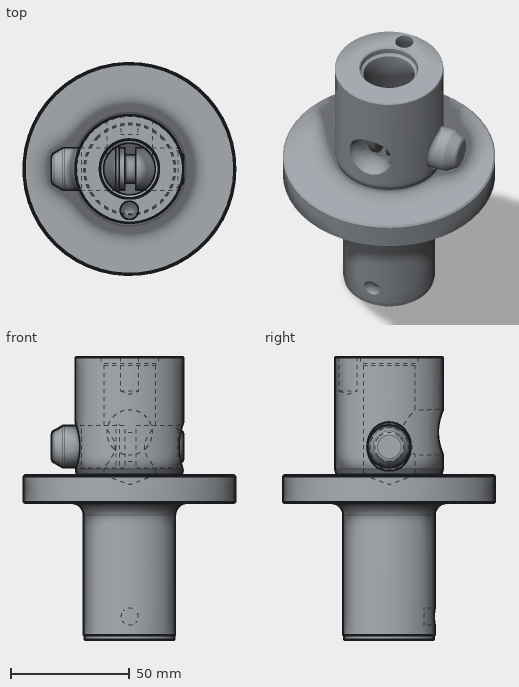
import cadquery as cq
import math

total_height = 120.0
flange_radius = 45.0
flange_bottom_z = 58.0
flange_thickness = 12.0
flange_top_z = flange_bottom_z + flange_thickness
flange_chamfer = 0.7
column_radius = 46.0 / 2
column_chamfer = 0.4
shank_radius = 39.0 / 2
shank_fillet_radius = 4.9

land_step = 0.4
land_height = 1.9
land_radius = shank_radius - land_step
land_chamfer = 0.4

relief_depth = 0.6
relief_height = 2.6
relief_corner_radius = 0.5
relief_sink = 0.1
relief_outer_radius = 24.0

bore_radius = 10.9
bore_bottom_z = flange_top_z
counterbore_radius = 12.2
counterbore_depth = 2.8
mouth_chamfer = 0.5
drill_point_slope = math.tan(math.radians(20))
shoulder_slope = math.tan(math.radians(30))

top_hole_radius = 3.8
top_hole_depth = 14.4
top_hole_y = -17.5

access_radius = 9.6
access_z = 88.1

shank_hole_radius = 3.6
shank_hole_z = 10.1
shank_hole_depth = 4.8

pin_radius = 9.0
pin_z = 82.0
pin_left_x = -33.0
pin_right_x = column_radius
pin_taper_length = 4.9
pin_taper_slope = math.tan(math.radians(30))
pin_end_radius = pin_radius - pin_taper_length * pin_taper_slope
pin_end_fillet = 2.0
pin_shoulder_fillet = 1.5
neck_radius = 6.1
neck_left_x = -1.9
neck_right_x = 2.8
neck_fillet = 0.4
neck_cutter_radius = 2 * pin_radius
countersink_radius = 10.5
countersink_slope = math.tan(math.radians(30))

ring_cord_radius = 0.7
ring_outer_radius = 9.6
ring_center_radius = ring_outer_radius - ring_cord_radius
ring_x = (pin_left_x + pin_right_x) / 2


def revolve_about_z(profile):
    """Revolve a closed (radius, z) profile about the Z axis."""
    return profile.close().revolve(360, (0, 0, 0), (0, 1, 0))


def revolve_about_pin_axis(profile):
    """Revolve a closed (x, radius) profile about the pin axis."""
    return profile.close().revolve(360, (0, 0, 0), (1, 0, 0)).translate((0, 0, pin_z))


def housing_blank():
    relief_radius = column_radius - relief_depth
    relief_floor_z = flange_top_z - relief_sink
    fillet_corner = shank_fillet_radius * (1 - math.sqrt(0.5))
    profile = (
        cq.Workplane("XZ")
        .lineTo(land_radius - land_chamfer, 0)
        .lineTo(land_radius, land_chamfer)
        .lineTo(land_radius, land_height)
        .lineTo(shank_radius, land_height + land_step)
        .lineTo(shank_radius, flange_bottom_z - shank_fillet_radius)
        .threePointArc(
            (shank_radius + fillet_corner, flange_bottom_z - fillet_corner),
            (shank_radius + shank_fillet_radius, flange_bottom_z),
        )
        .lineTo(flange_radius - flange_chamfer, flange_bottom_z)
        .lineTo(flange_radius, flange_bottom_z + flange_chamfer)
        .lineTo(flange_radius, flange_top_z - flange_chamfer)
        .lineTo(flange_radius - flange_chamfer, flange_top_z)
        .lineTo(relief_outer_radius, flange_top_z)
        .lineTo(relief_radius + relief_corner_radius, relief_floor_z)
        .radiusArc((relief_radius, relief_floor_z + relief_corner_radius), relief_corner_radius)
        .lineTo(column_radius, flange_top_z + relief_height)
        .lineTo(column_radius, total_height - column_chamfer)
        .lineTo(column_radius - column_chamfer, total_height)
        .lineTo(0, total_height)
    )
    return revolve_about_z(profile)


def bore_cutter():
    shoulder_z = total_height - counterbore_depth
    shoulder_drop = (counterbore_radius - bore_radius) * shoulder_slope
    profile = (
        cq.Workplane("XZ")
        .moveTo(0, bore_bottom_z - bore_radius * drill_point_slope)
        .lineTo(bore_radius, bore_bottom_z)
        .lineTo(bore_radius, shoulder_z - shoulder_drop)
        .lineTo(counterbore_radius, shoulder_z)
        .lineTo(counterbore_radius, total_height - mouth_chamfer)
        .lineTo(counterbore_radius + mouth_chamfer, total_height)
        .lineTo(0, total_height)
    )
    return revolve_about_z(profile)


def top_hole_cutter():
    floor_z = total_height - top_hole_depth
    profile = (
        cq.Workplane("XZ")
        .moveTo(0, floor_z - top_hole_radius * drill_point_slope)
        .lineTo(top_hole_radius, floor_z)
        .lineTo(top_hole_radius, total_height)
        .lineTo(0, total_height)
    )
    return revolve_about_z(profile).translate((0, top_hole_y, 0))


def side_hole_cutter(radius, z, start_y):
    """Cylinder along +Y from start_y to outside the housing."""
    return cq.Workplane("XZ", origin=(0, start_y, z)).circle(radius).extrude(-flange_radius)


def pin_hole_cutter():
    """Through hole for the pin, with a conical countersink at both ends."""
    countersink_depth = (countersink_radius - pin_radius) / countersink_slope
    cone_start_x = column_radius - countersink_depth
    profile = (
        cq.Workplane("XY")
        .moveTo(-column_radius, 0)
        .lineTo(-column_radius, countersink_radius)
        .lineTo(-cone_start_x, pin_radius)
        .lineTo(cone_start_x, pin_radius)
        .lineTo(column_radius, countersink_radius)
        .lineTo(column_radius, 0)
    )
    return revolve_about_pin_axis(profile)


def build_housing():
    return (
        housing_blank()
        .cut(bore_cutter())
        .cut(top_hole_cutter())
        .cut(side_hole_cutter(access_radius, access_z, 0))
        .cut(side_hole_cutter(shank_hole_radius, shank_hole_z, shank_radius - shank_hole_depth))
        .cut(pin_hole_cutter())
    )


def build_o_ring():
    cord = cq.Workplane("XY").moveTo(ring_x, ring_center_radius).circle(ring_cord_radius)
    return cord.revolve(360, (0, 0, 0), (1, 0, 0)).translate((0, 0, pin_z))


def pin_blank():
    """Round pin with a rounded taper at each end."""
    profile = (
        cq.Workplane("XY")
        .moveTo(pin_left_x, 0)
        .lineTo(pin_left_x, pin_end_radius)
        .lineTo(pin_left_x + pin_taper_length, pin_radius)
        .lineTo(pin_right_x - pin_taper_length, pin_radius)
        .lineTo(pin_right_x, pin_end_radius)
        .lineTo(pin_right_x, 0)
    )
    pin = revolve_about_pin_axis(profile)
    pin = pin.faces("<X or >X").edges().fillet(pin_end_fillet)
    shoulders = cq.selectors.RadiusNthSelector(-1)
    return pin.edges("%CIRCLE").edges(shoulders).fillet(pin_shoulder_fillet)


def neck_cutter():
    """Ring that leaves the neck, with its inner edges rounded to fillet the neck ends."""
    ring = (
        cq.Workplane("YZ", origin=(neck_left_x, 0, pin_z))
        .circle(neck_cutter_radius)
        .circle(neck_radius)
        .extrude(neck_right_x - neck_left_x)
    )
    return ring.edges(cq.selectors.RadiusNthSelector(0)).fillet(neck_fillet)


def build_pin(o_ring):
    """Pin with its neck and a groove that fits the O-ring."""
    return pin_blank().cut(neck_cutter()).cut(o_ring)


housing = build_housing()
o_ring = build_o_ring()
pin = build_pin(o_ring)

result = cq.Compound.makeCompound([housing.val(), pin.val(), o_ring.val()])